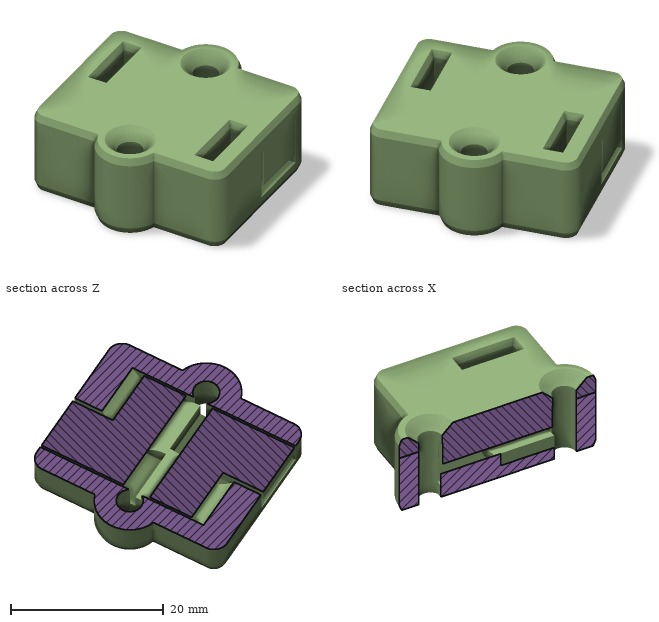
import cadquery as cq
import math

CASE_LENGTH = 28.97
CASE_WIDTH = 22.97
CASE_HEIGHT = 12.0
CORNER_RADIUS = 2.0
BOSS_OFFSET = 10.0
BOSS_RADIUS = 4.7
BEVEL_HEIGHT = 1.0
BEVEL_WIDTH = 0.4
BEVEL_ANGLE = math.degrees(math.atan(BEVEL_WIDTH / BEVEL_HEIGHT))
SPLIT_HEIGHT = 9.0

SCREW_RADIUS = 1.74
HEAD_RADIUS = 3.35
COUNTERSINK_ANGLE = 45
HEAD_DEPTH = (HEAD_RADIUS - SCREW_RADIUS) / math.tan(math.radians(COUNTERSINK_ANGLE))

FLOOR_HEIGHT = 2.0
STRAP_GAP = 1.5
CHANNEL_OUTER_Y = 8.47
CHANNEL_OVERLAP = 0.5
BEND_CENTRE_X = 4.5
RAMP_RADIUS = SPLIT_HEIGHT - FLOOR_HEIGHT
RAMP_END_X = BEND_CENTRE_X + RAMP_RADIUS
BUMP_RADIUS = 4.0

GUIDE_WIDTH = 8.23
GUIDE_BOTTOM = FLOOR_HEIGHT + STRAP_GAP
GUIDE_RADIUS = SPLIT_HEIGHT - GUIDE_BOTTOM
SLOT_WIDTH = 2.0
SLOT_LENGTH = CHANNEL_OUTER_Y
SLOT_START_X = RAMP_END_X - SLOT_WIDTH

END_X = CASE_LENGTH / 2
HALF_TURN = 180
SIDES = (-1, 1)


def half_turned(body):
    """The same shape turned half a turn about the vertical axis of the case."""
    return body.rotate((0, 0, 0), (0, 0, 1), HALF_TURN)


def case_layer(bottom, height, taper=0):
    """A slice of the case outline, extruded from the given height and narrowing by the taper angle."""
    layer = (
        cq.Workplane("XY")
        .workplane(offset=bottom)
        .sketch()
        .rect(CASE_LENGTH, CASE_WIDTH)
        .vertices()
        .fillet(CORNER_RADIUS)
        .finalize()
        .extrude(height, taper=taper)
    )
    bosses = at_bosses(bottom).circle(BOSS_RADIUS).extrude(height, taper=taper)
    return layer.union(bosses)


def along_y(profile, y_start, y_end):
    """Extrude an XZ profile between two Y positions."""
    return profile.extrude(y_start - y_end).translate((0, y_start, 0))


def on_bend(radius, angle):
    """A point on an arc about the bend centre in the split plane, at an angle below horizontal."""
    return (
        BEND_CENTRE_X + radius * math.cos(math.radians(angle)),
        SPLIT_HEIGHT - radius * math.sin(math.radians(angle)),
    )


def channel():
    """Space cut into the base from the -X opening along the floor and up the curved ramp."""
    profile = (
        cq.Workplane("XZ")
        .moveTo(-END_X, SPLIT_HEIGHT)
        .lineTo(-END_X, FLOOR_HEIGHT)
        .lineTo(BEND_CENTRE_X, FLOOR_HEIGHT)
        .threePointArc(on_bend(RAMP_RADIUS, 45), (RAMP_END_X, SPLIT_HEIGHT))
        .close()
    )
    return along_y(profile, -CHANNEL_OUTER_Y, CHANNEL_OVERLAP)


def bump():
    """Quarter-round bump on the floor, upright towards -X and curving down towards +X."""
    half_chord = math.sqrt(BUMP_RADIUS**2 - FLOOR_HEIGHT**2)
    middle = BUMP_RADIUS * math.sqrt(0.5)
    profile = (
        cq.Workplane("XZ")
        .moveTo(0, FLOOR_HEIGHT)
        .lineTo(0, BUMP_RADIUS)
        .threePointArc((middle, middle), (half_chord, FLOOR_HEIGHT))
        .close()
    )
    return along_y(profile, -CHANNEL_OUTER_Y, CHANNEL_OVERLAP)


def at_bosses(height):
    """A horizontal workplane at the given height with a point on each boss centre."""
    centres = [(0, side * BOSS_OFFSET) for side in SIDES]
    return cq.Workplane("XY").workplane(offset=height).pushPoints(centres)


def screw_holes(bottom, top):
    """Straight screw holes through both bosses between two heights."""
    return at_bosses(bottom).circle(SCREW_RADIUS).extrude(top - bottom)


def countersinks():
    """Conical recesses for the screw heads in the top of the lid."""
    return at_bosses(CASE_HEIGHT).circle(HEAD_RADIUS).extrude(-HEAD_DEPTH, taper=COUNTERSINK_ANGLE)


def guide_bar():
    """Lid bar that closes the top of the -X opening and rounds the strap up into the +X slot."""
    slot_angle = math.degrees(math.acos((SLOT_START_X - BEND_CENTRE_X) / GUIDE_RADIUS))
    arc_middle = on_bend(GUIDE_RADIUS, (slot_angle + 90) / 2)
    profile = (
        cq.Workplane("XZ")
        .moveTo(-END_X, SPLIT_HEIGHT)
        .lineTo(-END_X, GUIDE_BOTTOM)
        .lineTo(BEND_CENTRE_X, GUIDE_BOTTOM)
        .threePointArc(arc_middle, on_bend(GUIDE_RADIUS, slot_angle))
        .lineTo(SLOT_START_X, SPLIT_HEIGHT)
        .close()
    )
    bump_clearance = cq.Workplane("XZ").circle(BUMP_RADIUS + STRAP_GAP)
    return along_y(profile, -GUIDE_WIDTH, 0).cut(along_y(bump_clearance, -GUIDE_WIDTH, 0))


def strap_slot():
    """Slot through the lid at the +X end, flared at the top by the same bevel as the case."""
    centre_x = SLOT_START_X + SLOT_WIDTH / 2
    centre_y = -SLOT_LENGTH / 2
    slot = (
        cq.Workplane("XY")
        .workplane(offset=SPLIT_HEIGHT)
        .center(centre_x, centre_y)
        .rect(SLOT_WIDTH, SLOT_LENGTH)
        .extrude(CASE_HEIGHT - SPLIT_HEIGHT)
    )
    flare = (
        cq.Workplane("XY")
        .workplane(offset=CASE_HEIGHT)
        .center(centre_x, centre_y)
        .rect(SLOT_WIDTH + 2 * BEVEL_WIDTH, SLOT_LENGTH + 2 * BEVEL_WIDTH)
        .extrude(-BEVEL_HEIGHT, taper=BEVEL_ANGLE)
    )
    return slot.union(flare)


def make_base():
    """Lower body: walls, both strap channels with their bumps, and the lower screw holes."""
    wall = case_layer(BEVEL_HEIGHT, SPLIT_HEIGHT - BEVEL_HEIGHT)
    bevel = case_layer(-BEVEL_HEIGHT, BEVEL_HEIGHT, BEVEL_ANGLE).mirror("XY")
    base = wall.union(bevel)
    channel_zone = cq.Workplane("XY").box(CASE_LENGTH, 2 * CHANNEL_OUTER_Y, 2 * SPLIT_HEIGHT)
    base = base.cut(screw_holes(0, SPLIT_HEIGHT).cut(channel_zone))
    base = base.cut(channel()).cut(half_turned(channel()))
    return base.union(bump()).union(half_turned(bump()))


def make_lid():
    """Upper body: cover plate with countersunk holes, strap slots and the two guide bars."""
    bevel_bottom = CASE_HEIGHT - BEVEL_HEIGHT
    lid = case_layer(SPLIT_HEIGHT, bevel_bottom - SPLIT_HEIGHT)
    lid = lid.union(case_layer(bevel_bottom, BEVEL_HEIGHT, BEVEL_ANGLE))
    lid = lid.cut(screw_holes(SPLIT_HEIGHT, CASE_HEIGHT)).cut(countersinks())
    lid = lid.cut(strap_slot()).cut(half_turned(strap_slot()))
    return lid.union(guide_bar()).union(half_turned(guide_bar()))


base = make_base()
lid = make_lid()
result = cq.Compound.makeCompound([base.solids().val(), lid.solids().val()])